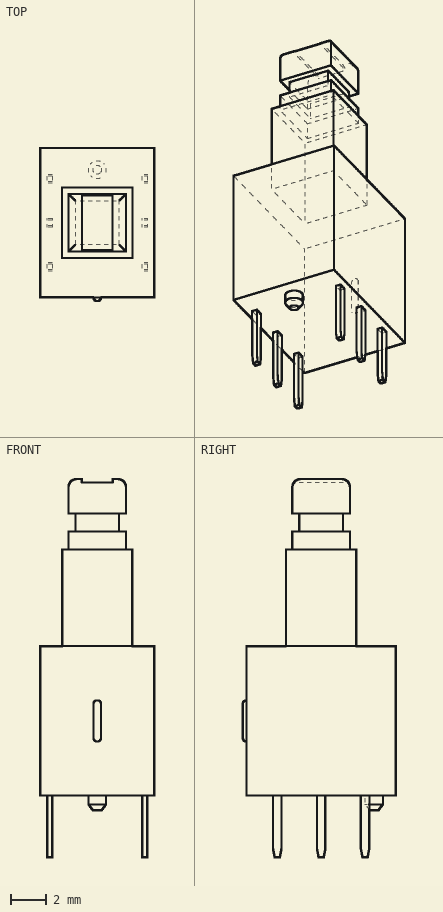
import cadquery as cq

total_height = 21.5

body_width = 6.5
body_depth = 8.5
body_height = 8.5

stem_size = 4.0
stem_height = 5.5
collar_size = 3.3
collar_height = 1.0
neck_size = 2.5
neck_height = 1.0
cap_size = collar_size
cap_edge_radius = 0.5
cap_groove_width = 1.75
cap_groove_depth = 0.2

pin_thickness = 0.3
pin_width = 0.5
pin_length = 3.5
pin_tip_width = 0.3
pin_taper_height = 0.5
pin_row_spacing = 5.4
pin_pitch = 2.5

post_diameter = 1.0
post_length = 0.84
post_tip_diameter = 0.5
post_tip_height = 0.35
post_y = 3.0

rib_radius = 0.22
rib_length = 2.35

stem_top = body_height + stem_height
collar_top = stem_top + collar_height
neck_top = collar_top + neck_height
cap_top = total_height - pin_length
cap_height = cap_top - neck_top


def block(width, depth, height, base_z):
    """Box centred on the Z axis, standing on base_z."""
    return cq.Workplane("XY").workplane(offset=base_z).rect(width, depth).extrude(height)


def make_cap():
    """Cap with rounded top edges and a shallow groove running along Y."""
    cap = block(cap_size, cap_size, cap_height, neck_top)
    cap = cap.faces(">Z").edges().fillet(cap_edge_radius)
    groove = block(cap_groove_width, cap_size, cap_groove_depth, cap_top - cap_groove_depth)
    return cap.cut(groove)


def make_pin(x, y):
    """Flat pin whose width along Y tapers towards the tip."""
    outline = [
        (-pin_width / 2, 0),
        (pin_width / 2, 0),
        (pin_width / 2, pin_taper_height - pin_length),
        (pin_tip_width / 2, -pin_length),
        (-pin_tip_width / 2, -pin_length),
        (-pin_width / 2, pin_taper_height - pin_length),
    ]
    pin = cq.Workplane("YZ").polyline(outline).close().extrude(pin_thickness / 2, both=True)
    return pin.translate((x, y, 0))


def make_post():
    """Round post with a conical tip."""
    outline = [
        (0, 0),
        (post_diameter / 2, 0),
        (post_diameter / 2, post_tip_height - post_length),
        (post_tip_diameter / 2, -post_length),
        (0, -post_length),
    ]
    post = cq.Workplane("XZ").polyline(outline).close().revolve(360, (0, 0), (0, 1))
    return post.translate((0, post_y, 0))


def make_rib():
    """Capsule centred on the front face; its rear half lies inside the housing."""
    straight_half = rib_length / 2 - rib_radius
    capsule = (
        cq.Workplane("XZ")
        .moveTo(0, -rib_length / 2)
        .radiusArc((rib_radius, -straight_half), -rib_radius)
        .lineTo(rib_radius, straight_half)
        .radiusArc((0, rib_length / 2), -rib_radius)
        .close()
        .revolve(360, (0, 0), (0, 1))
    )
    return capsule.translate((0, -body_depth / 2, body_height / 2))


result = block(body_width, body_depth, body_height, 0)
result = result.union(block(stem_size, stem_size, stem_height, body_height))
result = result.union(block(collar_size, collar_size, collar_height, stem_top))
result = result.union(block(neck_size, neck_size, neck_height, collar_top))
result = result.union(make_cap())

for pin_x in (-pin_row_spacing / 2, pin_row_spacing / 2):
    for pin_y in (-pin_pitch, 0, pin_pitch):
        result = result.union(make_pin(pin_x, pin_y))

result = result.union(make_post())
result = result.union(make_rib())